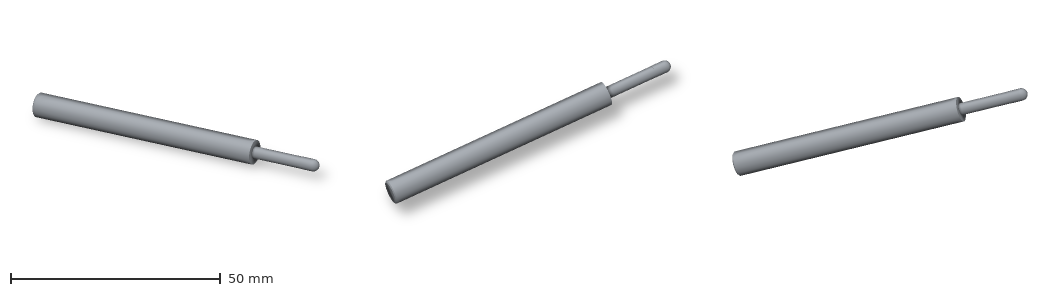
import cadquery as cq

total_length = 75.0
body_diameter = 6.0
body_length = 57.9
body_edge_chamfer = 0.3

stem_diameter = 2.9
tip_diameter = 3.0
tip_length = 4.5
tip_radius = tip_diameter / 2

body_start = -total_length / 2
body_end = body_start + body_length
tip_end = total_length / 2
tip_start = tip_end - tip_length
dome_center = tip_end - tip_radius


def rod(start, end, diameter):
    """Cylinder along X between two X positions."""
    return cq.Workplane("YZ", origin=(start, 0, 0)).circle(diameter / 2).extrude(end - start)


body = rod(body_start, body_end, body_diameter).faces("<X").edges().chamfer(body_edge_chamfer)
stem = rod(body_end, tip_start, stem_diameter)
tip = rod(tip_start, dome_center, tip_diameter)

dome = cq.Workplane("YZ", origin=(dome_center, 0, 0)).sphere(tip_radius)

result = body.union(stem).union(tip).union(dome)